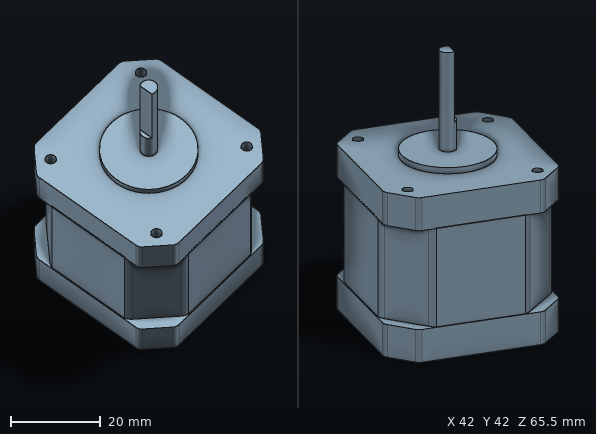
import cadquery as cq
import math

total_height = 65.5
cap_width = 42.0
cap_height = 8.0
cap_corner_cut = 6.0
cap_corner_radius = 2.0
core_width = 41.5
core_height = 24.0
core_corner_cut = 10.0
core_corner_radius = 4.0
pilot_diameter = 22.0
pilot_height = 1.5
shaft_diameter = 4.0
shaft_flat_length = 17.0
shaft_flat_offset = 1.0
hole_diameter = 2.5
hole_spacing = 31.05
hole_depth = 4.5
drill_point_angle = 118.0

front_cap_base = cap_height + core_height
mounting_face = front_cap_base + cap_height


def octagonal_block(width, height, corner_cut, corner_radius, base):
    """Square block with cut corners and rounded vertical edges."""
    return (
        cq.Workplane("XY", origin=(0, 0, base))
        .rect(width, width)
        .extrude(height)
        .edges("|Z")
        .chamfer(corner_cut)
        .edges("|Z")
        .fillet(corner_radius)
    )


def trimmed_core():
    """Rounded octagon as wide as the caps, with its four sides trimmed slightly into the corner arcs."""
    full_core = octagonal_block(cap_width, core_height, core_corner_cut, core_corner_radius, cap_height)
    trim = cq.Workplane("XY", origin=(0, 0, cap_height)).rect(core_width, core_width).extrude(core_height)
    return full_core.intersect(trim)


def flatted_shaft():
    """Round shaft with a flat on the -Y side of its upper end."""
    length = total_height - mounting_face
    shaft = cq.Workplane("XY", origin=(0, 0, mounting_face)).circle(shaft_diameter / 2).extrude(length)
    flat_cutter = (
        cq.Workplane("XY", origin=(0, -shaft_flat_offset, total_height - shaft_flat_length))
        .rect(shaft_diameter, shaft_diameter)
        .extrude(shaft_flat_length)
        .translate((0, -shaft_diameter / 2, 0))
    )
    return shaft.cut(flat_cutter)


def mounting_holes():
    """Four blind drilled holes with conical bottoms, as cutting solids."""
    radius = hole_diameter / 2
    point_depth = radius / math.tan(math.radians(drill_point_angle / 2))
    drill = (
        cq.Workplane("XZ")
        .polyline([(0, 0), (radius, 0), (radius, -hole_depth), (0, -hole_depth - point_depth)])
        .close()
        .revolve(360, (0, 0), (0, 1))
        .val()
    )
    return (
        cq.Workplane("XY", origin=(0, 0, mounting_face))
        .rect(hole_spacing, hole_spacing, forConstruction=True)
        .vertices()
        .eachpoint(drill, combine=False)
    )


rear_cap = octagonal_block(cap_width, cap_height, cap_corner_cut, cap_corner_radius, 0)
core = trimmed_core()
front_cap = octagonal_block(cap_width, cap_height, cap_corner_cut, cap_corner_radius, front_cap_base)
pilot = cq.Workplane("XY", origin=(0, 0, mounting_face)).circle(pilot_diameter / 2).extrude(pilot_height)

motor = rear_cap.union(core).union(front_cap).union(pilot).union(flatted_shaft())
result = motor.cut(mounting_holes())